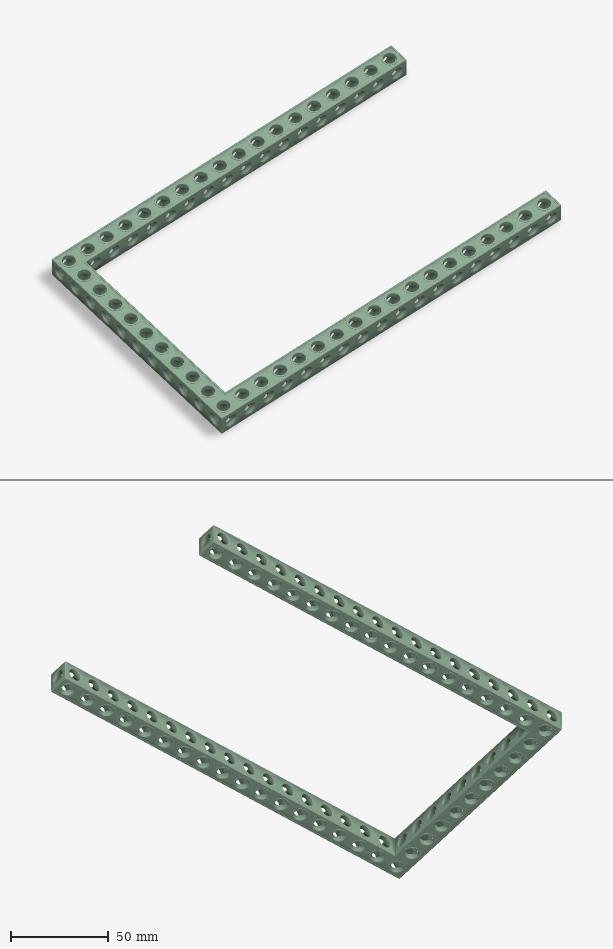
import cadquery as cq

length = 225.0
rows = 18
columns = 11
hole_diameter = 7.0
boss_diameter = 9.2
lip = 1.0
recess_depth = 0.25
bevel = 0.27

pitch = length / rows
width = columns * pitch
half_pitch = pitch / 2


def hole_centres(count):
    """Evenly spaced positions, centred on the origin."""
    return [(i - (count - 1) / 2) * pitch for i in range(count)]


column_places = hole_centres(columns)
row_places = hole_centres(rows)
bar_y = row_places[0]
arm_places = [column_places[0], column_places[-1]]
vertical_places = [(x, y) for x in arm_places for y in row_places]
vertical_places += [(x, bar_y) for x in column_places[1:-1]]


def u_plate(inset, height):
    """U outline shrunk by an inset all round, extruded up from Z = 0."""
    right = width / 2 - inset
    inner = width / 2 - pitch + inset
    tip = length / 2 - inset
    bar_top = -length / 2 + pitch - inset
    outline = [
        (-right, tip), (-right, -tip), (right, -tip), (right, tip),
        (inner, tip), (inner, bar_top), (-inner, bar_top), (-inner, tip),
    ]
    return cq.Workplane("XY").polyline(outline).close().extrude(height)


def make_frame():
    """Square-section U with bevelled edges."""
    frame = u_plate(0, pitch).translate((0, 0, -half_pitch))
    return frame.faces("|Z").edges().chamfer(bevel).edges("|Z").chamfer(bevel)


def recess_faces(frame):
    """Sink the top and bottom faces, leaving the lip and a ring around each hole."""
    bosses = cq.Workplane("XY").pushPoints(vertical_places).circle(boss_diameter / 2).extrude(recess_depth)
    recess = u_plate(lip, recess_depth).cut(bosses)
    for floor in (half_pitch - recess_depth, -half_pitch):
        frame = frame.cut(recess.translate((0, 0, floor)))
    return frame


def bore_cutter(bore_length):
    """Solid of a hole along Z with both mouths chamfered, centred on the origin."""
    radius = hole_diameter / 2
    mouth = radius + bevel
    end = bore_length / 2
    profile = [
        (0, -end), (mouth, -end), (radius, -end + bevel),
        (radius, end - bevel), (mouth, end), (0, end),
    ]
    return cq.Workplane("XZ").polyline(profile).close().revolve(360, (0, 0, 0), (0, 1, 0))


def drill(frame, cutter, places):
    """Cut a copy of the cutter at every (x, y) place in one operation."""
    cutters = [cutter.translate((x, y, 0)).val() for x, y in places]
    return cq.Workplane(frame.val().cut(*cutters))


def drill_along_x(frame):
    """Holes across each arm, and one running the whole length of the crossbar."""
    across_arm = bore_cutter(pitch).rotate((0, 0, 0), (0, 1, 0), 90)
    frame = drill(frame, across_arm, [(x, y) for x in arm_places for y in row_places[1:]])
    along_bar = bore_cutter(width).rotate((0, 0, 0), (0, 1, 0), 90)
    return drill(frame, along_bar, [(0, bar_y)])


def drill_along_y(frame):
    """Holes across the crossbar, and one running the whole length of each arm."""
    across_bar = bore_cutter(pitch).rotate((0, 0, 0), (1, 0, 0), 90)
    frame = drill(frame, across_bar, [(x, bar_y) for x in column_places[1:-1]])
    along_arm = bore_cutter(length).rotate((0, 0, 0), (1, 0, 0), 90)
    return drill(frame, along_arm, [(x, 0) for x in arm_places])


result = recess_faces(make_frame())
result = drill(result, bore_cutter(pitch), vertical_places)
result = drill_along_x(result)
result = drill_along_y(result)
result = cq.Workplane(result.solids().val())